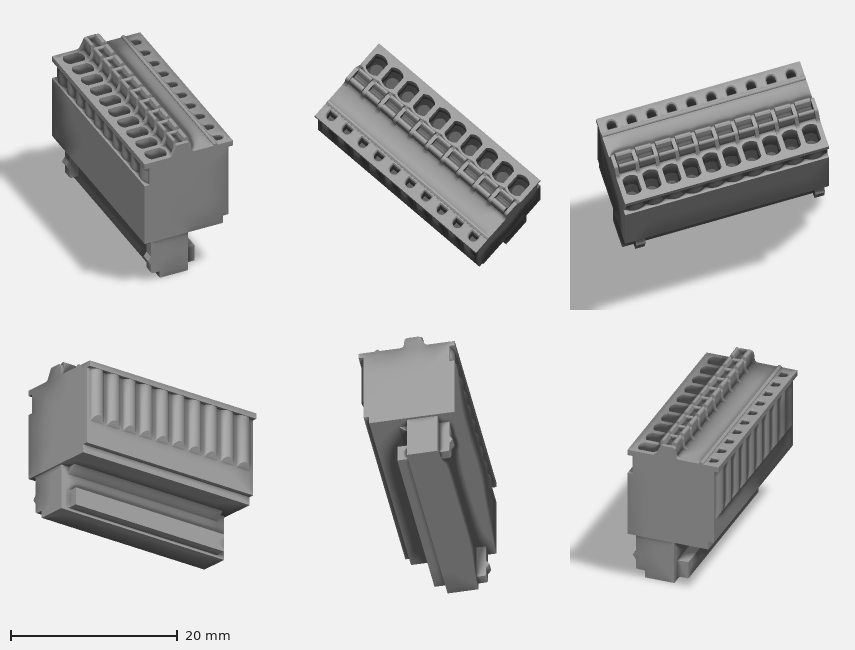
import cadquery as cq


length = 25.6
poles = 10
plug_length = 25.0
pitch = plug_length / poles
pole_places = [(i - (poles - 1) / 2) * pitch for i in range(poles)]

depth = 11.75
body_bottom = 5.7
deck_top = 17.25
plate_bottom = 16.55
wall_back = 11.14
step_back = 10.45
step_top = 6.75
recess_back = 0.65
recess_bottom = 14.08

plug_front = 2.15
plug_back = 5.91
gusset_back = 7.07
gusset_bottom = 4.74

key_bottom = 0.33
key_top = 2.55
key_back = 7.3
key_inset = 1.1
key_flare_depth = 0.18
key_flare_width = 0.1
latch_width = 1.2
latch_front = 0.97
latch_bottom = 0.95
latch_rounding = 0.25
latch_nose = 0.6
latch_nose_bottom = 2.23
latch_nose_top = 3.4
latch_tip_bottom = 2.76
latch_tip_top = 2.9
latch_places = [
    plug_length / 2 - latch_width / 2 - (poles - 1) * pitch,
    plug_length / 2 - latch_width / 2,
]

entry_y = 2.18
entry_radius = 1.33
entry_width = 1.9
entry_end_radius = 0.8
entry_straight_depth = 2.65
entry_taper_depth = 1.02
shroud_radius = 1.92
shroud_overlap = 0.25

test_y = 10.5
test_radius = 0.56
test_front = 10.04
test_depth = 3.07
test_chamfer = 0.15
test_chamfer_angle = 45.0
test_shroud_radius = 1.18
test_shroud_bottom = 9.75
test_shroud_chamfer_height = 0.77

ridge_front = 9.22
ridge_crest = 9.5
ridge_back = 9.73
ridge_height = 0.25
ridge_side_height = 0.1

rib_width = 0.45
rib_top = 18.76
rib_foot_front = 3.25
rib_foot_back = 6.68
rib_foot_radius = 0.49
rib_foot_front_middle = (3.5, 17.33)
rib_slope_bottom = (3.69, 17.54)
rib_slope_top = (4.22, 18.6)
rib_crest_front_middle = (4.33, 18.71)
rib_crest_front = 4.45
rib_crest_back = 5.73
rib_crest_radius = 0.38
rib_back_top = (6.15, 18.43)
rib_back_bottom = (6.22, 17.72)
rib_end = (length - rib_width) / 2
inner_rib_places = [(i - poles / 2) * pitch for i in range(1, poles)]
rib_places = [-rib_end, *inner_rib_places, rib_end]

button_width = 1.92
button_top = 19.2
button_front = 4.02
button_front_rounding = 0.28
button_back = 6.1
button_back_rounding = 0.33
front_wall_edge = (4.45, 19.07)
front_wall_root = (4.7, 18.3)
valley_start = (4.97, 18.1)
valley_middle = (5.17, 18.12)
back_wall_root = (5.3, 18.3)
back_wall_edge = (5.53, 19.07)


def prism(outline, width, center_x=0.0):
    """Extrude a closed Y-Z outline along X, centred on center_x."""
    return outline.close().extrude(width / 2, both=True).translate((center_x, 0, 0))


def side_outline(points):
    """Start a Y-Z outline made of straight lines."""
    return cq.Workplane("YZ").polyline(points)


def block(width, y_range, z_range, center_x=0.0):
    """Box given by its X width and its Y and Z limits."""
    return (
        cq.Workplane("XY")
        .box(width, y_range[1] - y_range[0], z_range[1] - z_range[0], centered=(True, False, False))
        .translate((center_x, y_range[0], z_range[0]))
    )


def cylinder(radius, x, y, bottom, top):
    return cq.Workplane("XY", origin=(x, y, bottom)).circle(radius).extrude(top - bottom)


def housing():
    outline = side_outline([
        (0, body_bottom),
        (step_back, body_bottom),
        (step_back, step_top),
        (wall_back, step_top),
        (wall_back, plate_bottom),
        (depth, plate_bottom),
        (depth, deck_top),
        (0, deck_top),
        (0, plate_bottom),
        (recess_back, plate_bottom),
        (recess_back, recess_bottom),
        (0, recess_bottom),
    ])
    return prism(outline, length)


def front_shrouds():
    """Rounded walls of the wire entries, bulging into the front recess."""
    recess = block(length, (0, recess_back + shroud_overlap), (recess_bottom, plate_bottom))
    shrouds = cq.Workplane("XY")
    for x in pole_places:
        shrouds = shrouds.union(cylinder(shroud_radius, x, entry_y, recess_bottom, plate_bottom))
    return shrouds.intersect(recess)


def back_shrouds():
    """Rounded walls of the test openings, bevelled at their lower end."""
    shrouds = cq.Workplane("XY")
    for x in pole_places:
        shrouds = shrouds.union(
            cylinder(test_shroud_radius, x, test_y, test_shroud_bottom, plate_bottom)
        )
    outer = test_y + test_shroud_radius
    bevel = side_outline([
        (wall_back, test_shroud_bottom),
        (outer, test_shroud_bottom + test_shroud_chamfer_height),
        (outer, test_shroud_bottom),
    ])
    return shrouds.cut(prism(bevel, length))


def ridge():
    """Low bead along the deck: rounded in front, bevelled behind its crest."""
    outline = (
        cq.Workplane("YZ")
        .moveTo(ridge_front, deck_top)
        .lineTo(ridge_front, deck_top + ridge_side_height)
        .radiusArc((ridge_crest, deck_top + ridge_height), ridge_crest - ridge_front)
        .lineTo(ridge_back, deck_top + ridge_side_height)
        .lineTo(ridge_back, deck_top)
    )
    return prism(outline, length)


def rib(center_x):
    """Thin partition beside a button: sloped front, upright back, filleted into the deck."""
    outline = (
        cq.Workplane("YZ")
        .moveTo(rib_foot_front, deck_top)
        .threePointArc(rib_foot_front_middle, rib_slope_bottom)
        .lineTo(*rib_slope_top)
        .threePointArc(rib_crest_front_middle, (rib_crest_front, rib_top))
        .lineTo(rib_crest_back, rib_top)
        .radiusArc(rib_back_top, rib_crest_radius)
        .lineTo(*rib_back_bottom)
        .radiusArc((rib_foot_back, deck_top), -rib_foot_radius)
    )
    return prism(outline, rib_width, center_x)


def button(center_x):
    """Release button: two round-topped walls with a valley between them."""
    front_shoulder = button_top - button_front_rounding
    back_shoulder = button_top - button_back_rounding
    outline = (
        cq.Workplane("YZ")
        .moveTo(button_front, deck_top)
        .lineTo(button_front, front_shoulder)
        .radiusArc((button_front + button_front_rounding, button_top), button_front_rounding)
        .lineTo(*front_wall_edge)
        .lineTo(*front_wall_root)
        .lineTo(*valley_start)
        .threePointArc(valley_middle, back_wall_root)
        .lineTo(*back_wall_edge)
        .lineTo(button_back - button_back_rounding, button_top)
        .radiusArc((button_back, back_shoulder), button_back_rounding)
        .lineTo(button_back, deck_top)
    )
    return prism(outline, button_width, center_x)


def wire_entry(x):
    """Flat-sided round opening that narrows to a circle at its floor."""
    taper_top = deck_top - entry_straight_depth
    floor = taper_top - entry_taper_depth
    straight = cylinder(entry_radius, x, entry_y, taper_top, button_top)
    taper = (
        cq.Workplane("XY", origin=(x, entry_y, taper_top))
        .circle(entry_radius)
        .workplane(offset=-entry_taper_depth)
        .circle(entry_end_radius)
        .loft()
    )
    sides = block(
        entry_width,
        (entry_y - entry_radius, entry_y + entry_radius),
        (floor, deck_top),
        x,
    )
    return straight.union(taper).intersect(sides)


def d_outline(x, height):
    """D-shaped outline with its flat side to the front."""
    return (
        cq.Workplane("XY", origin=(x, test_y, height))
        .moveTo(-test_radius, test_front - test_y)
        .lineTo(test_radius, test_front - test_y)
        .lineTo(test_radius, 0)
        .threePointArc((0, test_radius), (-test_radius, 0))
        .close()
    )


def test_opening(x):
    shaft = d_outline(x, deck_top - test_depth).extrude(test_depth)
    rim = (
        d_outline(x, deck_top - test_chamfer)
        .extrude(test_chamfer, taper=-test_chamfer_angle)
    )
    return shaft.union(rim)


def plug():
    """Plug body with a gusset under the housing and a flared key on its back."""
    core = block(plug_length, (plug_front, plug_back), (0, body_bottom))
    gusset = side_outline([
        (plug_back, body_bottom),
        (gusset_back, body_bottom),
        (plug_back, gusset_bottom),
    ])
    key_length = plug_length - 2 * key_inset
    root_length = key_length + 2 * key_flare_width
    key = (
        cq.Workplane("XY", origin=(0, 0, key_bottom))
        .polyline([
            (-root_length / 2, plug_back),
            (-key_length / 2, plug_back + key_flare_depth),
            (-key_length / 2, key_back),
            (key_length / 2, key_back),
            (key_length / 2, plug_back + key_flare_depth),
            (root_length / 2, plug_back),
        ])
        .close()
        .extrude(key_top - key_bottom)
    )
    return core.union(prism(gusset, key_length)).union(key)


def latch(center_x):
    """Upright latch arm with a pointed nose and a rounded foot."""
    outline = (
        cq.Workplane("YZ")
        .moveTo(plug_front, body_bottom)
        .lineTo(latch_front, body_bottom)
        .lineTo(latch_front, latch_nose_top)
        .lineTo(latch_nose, latch_tip_top)
        .lineTo(latch_nose, latch_tip_bottom)
        .lineTo(latch_front, latch_nose_bottom)
        .lineTo(latch_front, latch_bottom + latch_rounding)
        .radiusArc((latch_front + latch_rounding, latch_bottom), -latch_rounding)
        .lineTo(plug_front, latch_bottom)
    )
    return prism(outline, latch_width, center_x)


result = housing().union(front_shrouds()).union(back_shrouds()).union(ridge()).union(plug())

for x in rib_places:
    result = result.union(rib(x))

for x in pole_places:
    result = result.union(button(x)).cut(wire_entry(x)).cut(test_opening(x))

for x in latch_places:
    result = result.union(latch(x))